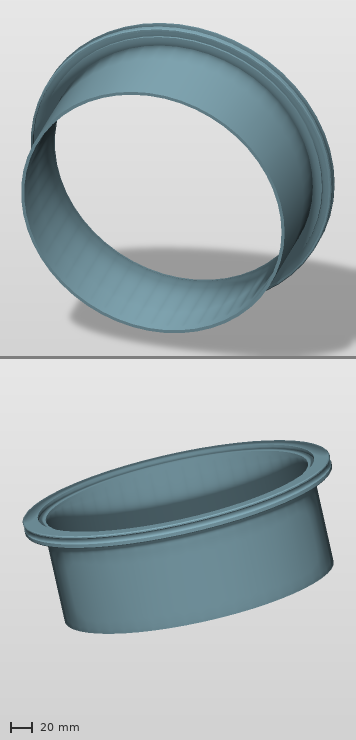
import cadquery as cq

flange_dia = 290.0
flange_thickness = 12.0
edge_chamfer = 1.0
bore_dia = 247.7
socket_dia = 254.5
socket_depth = 5.8

recess_dia = 261.0
recess_depth = 3.8

groove_depth = 2.3
groove_width = 5.8
groove_setback = 5.0

channel_outer_dia = 285.0
channel_inner_dia = 272.3
channel_depth = 2.0

total_length = 100.0
tube_outer_dia = 254.0
tube_inner_dia = 248.0

flange_front = total_length - flange_thickness
tube_length = flange_front + socket_depth


def cylinder(diameter, start, length):
    """Cylinder along +Y, beginning at Y = start."""
    return cq.Workplane("XZ", origin=(0, start, 0)).circle(diameter / 2).extrude(-length)


def rim_groove():
    """Ring with an arc-shaped section, cut into the rim."""
    middle = total_length - groove_setback
    rim_radius = flange_dia / 2
    return (
        cq.Workplane("XY")
        .moveTo(rim_radius, middle - groove_width / 2)
        .threePointArc((rim_radius - groove_depth, middle), (rim_radius, middle + groove_width / 2))
        .close()
        .revolve(360, (0, 0, 0), (0, 1, 0))
    )


def face_channel():
    """Flat-bottomed ring cut into the front face of the flange."""
    outer = cylinder(channel_outer_dia, flange_front, channel_depth)
    return outer.cut(cylinder(channel_inner_dia, flange_front, channel_depth))


def make_flange():
    """Grooved ring with a bore stepped at the front for the tube and at the back for centring."""
    body = cylinder(flange_dia, flange_front, flange_thickness).edges().chamfer(edge_chamfer)
    body = body.cut(rim_groove())
    body = body.cut(face_channel())
    body = body.cut(cylinder(socket_dia, flange_front, socket_depth))
    body = body.cut(cylinder(recess_dia, total_length - recess_depth, recess_depth))
    return body.cut(cylinder(bore_dia, flange_front, flange_thickness))


def make_tube():
    """Plain tube from Y = 0 to the shoulder inside the flange."""
    outer = cylinder(tube_outer_dia, 0, tube_length)
    return outer.cut(cylinder(tube_inner_dia, 0, tube_length))


flange = make_flange()
tube = make_tube()
result = cq.Compound.makeCompound([flange.val(), tube.val()])